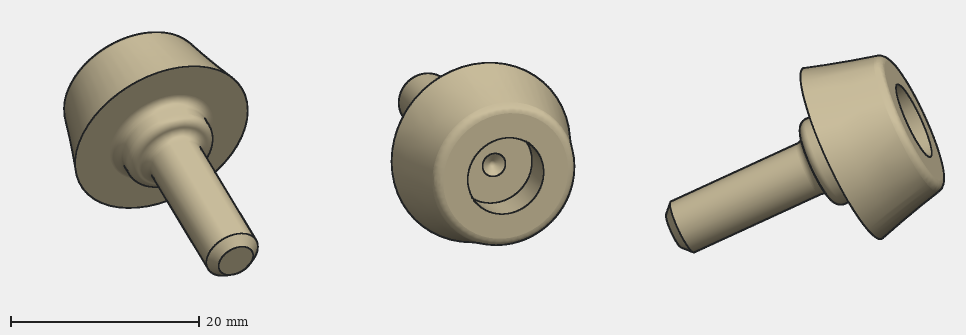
import cadquery as cq
import math

length = 28.5

head_length = 8.5
head_front_radius = 7.78
head_back_radius = 10.0
flank_hollow = 0.09
front_rounding = 1.0

bore_radius = 4.25
bore_depth = 4.0
mark_radius = 1.28
mark_point_angle = 118.0

collar_radius = 5.0
shaft_radius = 3.0
collar_land = 1.0
blend_radius = (collar_radius - shaft_radius) / 2
end_chamfer = 1.0

land_start = head_length + blend_radius
land_end = land_start + collar_land
shoulder = land_end + blend_radius
shaft_start = shoulder + blend_radius

flank_angle = math.atan2(head_back_radius - head_front_radius, head_length)
flank_middle = (
    head_length / 2 + flank_hollow * math.sin(flank_angle),
    (head_front_radius + head_back_radius) / 2 - flank_hollow * math.cos(flank_angle),
)


def quarter_arc(profile, center, start_angle, sweep):
    """Continue the profile with a blend arc; angles are in degrees."""

    def arc_point(angle):
        turn = math.radians(angle)
        return (
            center[0] + blend_radius * math.cos(turn),
            center[1] + blend_radius * math.sin(turn),
        )

    return profile.threePointArc(arc_point(start_angle + sweep / 2), arc_point(start_angle + sweep))


def make_body():
    """Revolve the head, collar and shaft as one outline."""
    profile = (
        cq.Workplane("XY")
        .lineTo(0, head_front_radius)
        .threePointArc(flank_middle, (head_length, head_back_radius))
        .lineTo(head_length, collar_radius + blend_radius)
    )
    profile = quarter_arc(profile, (land_start, collar_radius + blend_radius), 180, 90)
    profile = profile.lineTo(land_end, collar_radius)
    profile = quarter_arc(profile, (land_end, collar_radius - blend_radius), 90, -90)
    profile = quarter_arc(profile, (shaft_start, shaft_radius + blend_radius), 180, 90)
    profile = (
        profile.lineTo(length - end_chamfer, shaft_radius)
        .lineTo(length, shaft_radius - end_chamfer)
        .lineTo(length, 0)
        .close()
    )
    body = profile.revolve(360, (0, 0, 0), (1, 0, 0))
    return body.faces("<X").edges().fillet(front_rounding)


def make_bore():
    """Flat-bottomed bore with the conical mark beyond its floor."""
    mark_depth = mark_radius / math.tan(math.radians(mark_point_angle / 2))
    return (
        cq.Workplane("XY")
        .lineTo(0, bore_radius)
        .lineTo(bore_depth, bore_radius)
        .lineTo(bore_depth, mark_radius)
        .lineTo(bore_depth + mark_depth, 0)
        .close()
        .revolve(360, (0, 0, 0), (1, 0, 0))
    )


result = make_body().cut(make_bore())